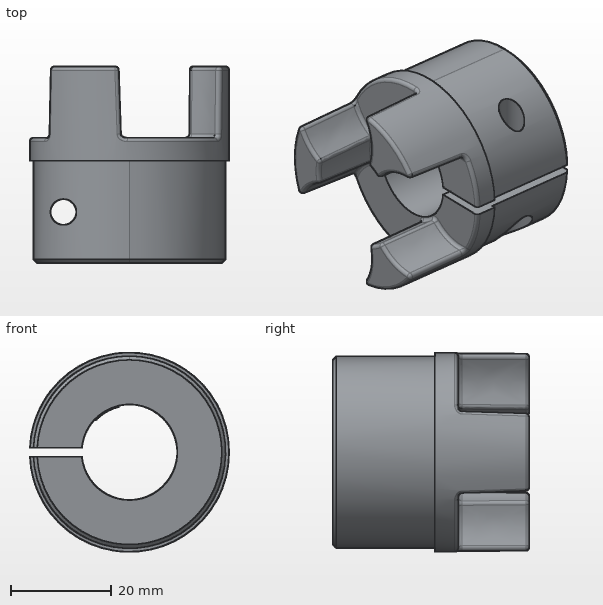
import cadquery as cq
import math

AXIS = cq.Vector(0, 1, 0)

total_length = 39.22
hub_length = 20.35
floor_y = 25.02
ring_radius = 19.9
hub_radius = 19.17
bore_radius = 9.5
hub_chamfer = 0.75

jaw_inner_radii = (12.17, 9.25, 10.35)
jaw_pitch = 360 / len(jaw_inner_radii)
lobe_radius = 10.82
lobe_distance = 14.85
jaw_draft = 1.5
edge_radius = 0.75

slit_width = 1.7
screw_x = -13.15
screw_y = hub_length / 2
screw_hole_radius = 2.55
counterbore_radius = 4.15
counterbore_seat_z = -4.97


def round_bar(radius, start_y, end_y, sweep=360):
    """Cylinder, or a sector of one, on the coupling axis."""
    start = cq.Vector(0, start_y, 0)
    return cq.Workplane(cq.Solid.makeCylinder(radius, end_y - start_y, start, AXIS, sweep))


def turned_from_x(shape, angle):
    """Shape turned about the coupling axis, from +X towards +Z."""
    return shape.rotate((0, 0, 0), AXIS.toTuple(), -angle)


def lobe_cut():
    """Gap between two jaws, widening towards the jaw tips, placed on +X."""
    depth = total_length - floor_y
    tip_radius = lobe_radius + depth * math.tan(math.radians(jaw_draft))
    centre = cq.Vector(lobe_distance, floor_y, 0)
    return cq.Workplane(cq.Solid.makeCone(lobe_radius, tip_radius, depth, centre, AXIS))


def inner_cut(radius):
    """Clears the space inside one jaw, centred on +X."""
    sector = round_bar(radius, floor_y, total_length, jaw_pitch)
    mid = sector.val().Center()
    return turned_from_x(sector, -math.degrees(math.atan2(mid.z, mid.x)))


def jaw_end():
    """Ring with the jaws on it, all edges on the jaw side rounded."""
    body = round_bar(ring_radius, hub_length, total_length)
    for index, inner_radius in enumerate(jaw_inner_radii):
        angle = index * jaw_pitch
        body = body.cut(turned_from_x(inner_cut(inner_radius), angle))
        body = body.cut(turned_from_x(lobe_cut(), angle + jaw_pitch / 2))
    body = body.edges("not <Y").fillet(edge_radius)
    body = body.cut(round_bar(bore_radius, hub_length, floor_y))
    for index, inner_radius in enumerate(jaw_inner_radii):
        clear_radius = min(inner_radius, bore_radius)
        body = body.cut(turned_from_x(inner_cut(clear_radius), index * jaw_pitch))
    return body


def clamp_hub():
    """Plain hub with its end chamfered."""
    hub = round_bar(hub_radius, 0, hub_length).faces("<Y").chamfer(hub_chamfer)
    return hub.cut(round_bar(bore_radius, 0, hub_length))


def slit_cut():
    """Slit from the bore out through the -X side, along the whole hub."""
    block = cq.Workplane().box(ring_radius, floor_y, slit_width, centered=(False, False, True))
    return block.translate((-ring_radius, 0, 0))


def screw_cut():
    """Clamp screw hole along Z, counterbored from below."""
    hole = cq.Workplane(origin=(screw_x, screw_y, 0)).circle(screw_hole_radius)
    head = cq.Workplane(origin=(screw_x, screw_y, counterbore_seat_z)).circle(counterbore_radius)
    return hole.extrude(ring_radius, both=True).union(head.extrude(-ring_radius))


result = clamp_hub().union(jaw_end())
result = result.cut(slit_cut()).cut(screw_cut())